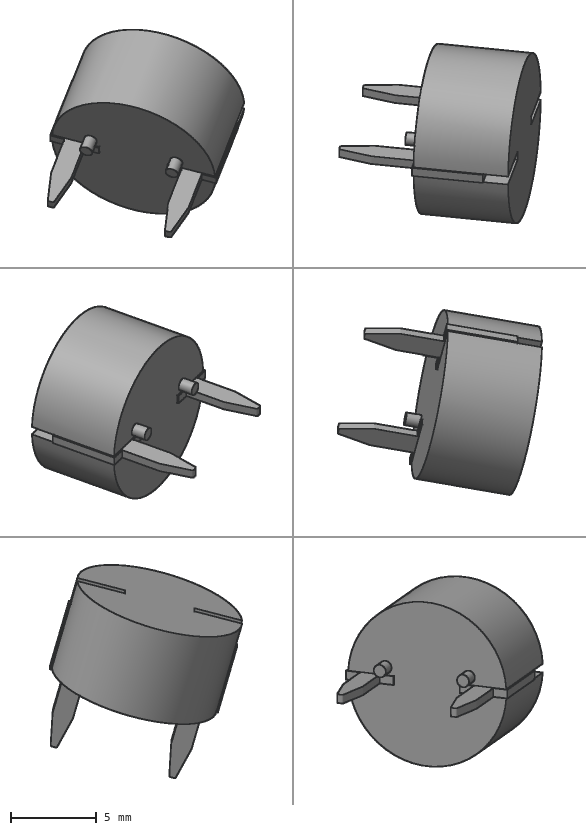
import cadquery as cq

housing_diameter = 10.0
housing_length = 5.62

peg_radius = 0.38
peg_length = 0.89
peg_x = 2.63
peg_z = 0.75

overall_width = 10.18
overall_length = 10.3
terminal_thickness = 0.54
plate_width = 3.0
plate_back_setback = 1.48
plate_front_protrusion = 0.08
leg_width = 1.24
taper_length = 2.02
tip_width = 0.37
tip_radius = 0.1

plate_center_x = (overall_width - plate_width) / 2
plate_back_y = housing_length - plate_back_setback
plate_front_y = -plate_front_protrusion
tip_y = housing_length - overall_length
taper_start_y = tip_y + taper_length


def make_slot_cutter(side):
    """Slot along the full housing length, open at the side, that holds one terminal."""
    return cq.Workplane("XY").box(plate_width, housing_length, terminal_thickness).translate(
        (side * plate_center_x, housing_length / 2, 0)
    )


def make_housing():
    """Cylinder with two front pegs and two side slots."""
    housing = cq.Workplane("XZ").circle(housing_diameter / 2).extrude(-housing_length)
    pegs = (
        cq.Workplane("XZ")
        .pushPoints([(-peg_x, peg_z), (peg_x, peg_z)])
        .circle(peg_radius)
        .extrude(peg_length)
    )
    housing = housing.union(pegs)
    for side in (-1, 1):
        housing = housing.cut(make_slot_cutter(side))
    return housing


def make_terminal(side):
    """Plate and pointed leg in one flat piece, centred on Z = 0."""
    half_plate = plate_width / 2
    half_leg = leg_width / 2
    half_tip = tip_width / 2
    terminal = (
        cq.Workplane("XY")
        .polyline([
            (-half_plate, plate_back_y),
            (half_plate, plate_back_y),
            (half_plate, plate_front_y),
            (half_leg, plate_front_y),
            (half_leg, taper_start_y),
            (half_tip, tip_y),
            (-half_tip, tip_y),
            (-half_leg, taper_start_y),
            (-half_leg, plate_front_y),
            (-half_plate, plate_front_y),
        ])
        .close()
        .extrude(terminal_thickness / 2, both=True)
    )
    terminal = terminal.faces("<Y").edges("|Z").fillet(tip_radius)
    return terminal.translate((side * plate_center_x, 0, 0))


housing = make_housing()
terminals = [make_terminal(side).solids().val() for side in (-1, 1)]

result = cq.Compound.makeCompound([housing.solids().val(), *terminals])